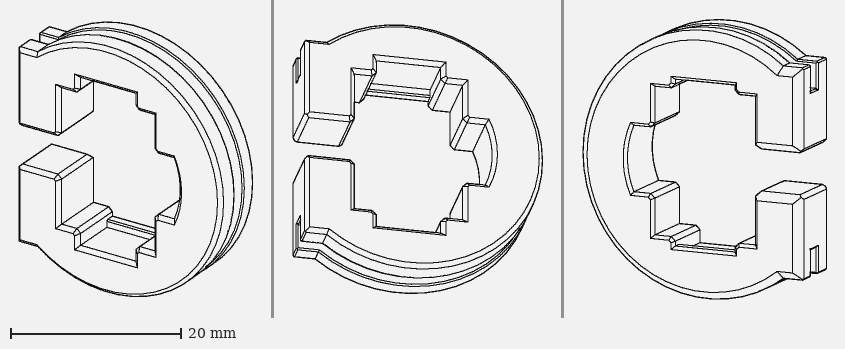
import cadquery as cq
import math

outer_radius = 16.1
thickness = 7.8
tab_reach = 12.5
tab_half_height = 12.75

groove_width = 1.8
groove_radius = 12.07
groove_tab_half_height = 9.53

cavity_half_width = 6.5
cavity_half_height = 8.92
notch_half_width = 3.85
notch_half_height = 10.98
key_slot_half_height = 4.0
key_slot_radius = 10.05
gap_half_height = 2.5

lip_half_height = 10.0
lip_front_y = 2.3

edge_chamfer = 0.5
back_chamfer = 1.0
opening_back_chamfer = 0.4
small_chamfer = 0.2

front_y = -thickness / 2
back_y = thickness / 2
groove_back_y = groove_width / 2
groove_front_y = -groove_back_y
beyond_tab = tab_reach + 3.22


def block(x_range, y_range, z_range):
    """Box given by its lower and upper limits along each axis."""
    limits = (x_range, y_range, z_range)
    size = [high - low for low, high in limits]
    middle = [(high + low) / 2 for low, high in limits]
    return cq.Workplane("XY").box(*size).translate(tuple(middle))


def plane_at(y):
    """Workplane across the part at the given depth; it extrudes towards -Y."""
    return cq.Workplane("XZ", origin=(0, y, 0))


def tabbed_disc(radius, tab_height, start_y, end_y):
    """Disc about the Y axis merged with a tab that runs out to -X."""
    disc = plane_at(end_y).circle(radius).extrude(end_y - start_y)
    tab = block((-tab_reach, 0), (start_y, end_y), (-tab_height, tab_height))
    left_limit = block((-tab_reach, radius), (start_y, end_y), (-radius, radius))
    return disc.intersect(left_limit).union(tab)


def front_flange():
    flange = tabbed_disc(outer_radius, tab_half_height, front_y, groove_front_y)
    return flange.faces("<Y").chamfer(edge_chamfer).faces(">Y").chamfer(small_chamfer)


def back_flange():
    flange = tabbed_disc(outer_radius, tab_half_height, groove_back_y, back_y)
    return flange.faces(">Y").chamfer(back_chamfer).faces("<Y").chamfer(small_chamfer)


def groove_core():
    """Material between the flanges; the groove ends at the tab face with a chamfered mouth."""
    core = tabbed_disc(groove_radius, groove_tab_half_height, groove_front_y, groove_back_y)
    core = core.faces("<X").edges("|Y").chamfer(small_chamfer)
    face_half_height = groove_tab_half_height - small_chamfer
    face_half_width = groove_back_y + small_chamfer
    tab_face = block(
        (-tab_reach, -cavity_half_width),
        (-face_half_width, face_half_width),
        (-face_half_height, face_half_height),
    )
    return core.union(tab_face)


def opening_profile(y, notch_height):
    """Outline of the cavity with its notches, key slot and gap, with broken inner corners."""
    slot_corner_x = math.sqrt(key_slot_radius**2 - key_slot_half_height**2)
    upper = [
        (slot_corner_x, key_slot_half_height),
        (cavity_half_width + edge_chamfer, key_slot_half_height),
        (cavity_half_width, key_slot_half_height + edge_chamfer),
        (cavity_half_width, cavity_half_height),
        (notch_half_width + edge_chamfer, cavity_half_height),
        (notch_half_width, cavity_half_height + edge_chamfer),
        (notch_half_width, notch_height),
        (-notch_half_width, notch_height),
        (-notch_half_width, cavity_half_height + edge_chamfer),
        (-notch_half_width - edge_chamfer, cavity_half_height),
        (-cavity_half_width, cavity_half_height),
        (-cavity_half_width, gap_half_height + edge_chamfer),
        (-cavity_half_width - edge_chamfer, gap_half_height),
        (-beyond_tab, gap_half_height),
    ]
    lower = [(x, -z) for x, z in reversed(upper)]
    outline = plane_at(y).polyline(upper + lower)
    return outline.threePointArc((key_slot_radius, 0), upper[0]).close()


def opening_section(start_y, end_y, notch_height):
    """Straight stretch of the opening between two depths."""
    return opening_profile(end_y, notch_height).extrude(end_y - start_y)


def opening_flare(start_y, face_y, notch_height):
    """Stretch of the opening that widens at 45 degrees towards a face of the body."""
    growth = abs(face_y - start_y)
    narrow = opening_profile(start_y, notch_height).val()
    wide = opening_profile(face_y, notch_height).offset2D(growth, "intersection").val()
    return cq.Workplane(cq.Solid.makeLoft([narrow, wide], True))


def opening_cutter():
    """Opening with the lip left standing in the back of the notches and both rims flared."""
    ahead_of_lip = opening_section(front_y, lip_front_y, notch_half_height)
    past_lip = opening_section(lip_front_y, back_y, lip_half_height)
    front_flare = opening_flare(front_y + edge_chamfer, front_y, notch_half_height)
    back_flare = opening_flare(back_y - opening_back_chamfer, back_y, lip_half_height)
    return ahead_of_lip.union(past_lip).union(front_flare).union(back_flare)


def prism_along_x(x_range, corner, y_leg, z_leg):
    """Right-angled triangular prism along X with its square corner at (y, z)."""
    y, z = corner
    triangle = [(y, z), (y + y_leg, z), (y, z + z_leg)]
    start_x, end_x = x_range
    return cq.Workplane("YZ", origin=(start_x, 0, 0)).polyline(triangle).close().extrude(end_x - start_x)


def prism_along_y(corner, x_leg, z_leg):
    """Right-angled triangular prism through the whole thickness with its square corner at (x, z)."""
    x, z = corner
    triangle = [(x, z), (x + x_leg, z), (x, z + z_leg)]
    return plane_at(back_y).polyline(triangle).close().extrude(thickness)


def edge_breaks():
    """Chamfers on the lip, the back of the gap, the gap mouth and the tab corners."""
    notch_span = (-notch_half_width, notch_half_width)
    gap_span = (-tab_reach, -cavity_half_width)
    breaks = cq.Workplane()
    for side in (1, -1):
        lip_edge = (lip_front_y, side * lip_half_height)
        gap_edge = (back_y, side * gap_half_height)
        mouth_edge = (-tab_reach, side * gap_half_height)
        tab_corner = (-tab_reach, side * tab_half_height)
        breaks.add(prism_along_x(notch_span, lip_edge, small_chamfer, side * small_chamfer))
        breaks.add(prism_along_x(gap_span, gap_edge, -back_chamfer, side * back_chamfer))
        breaks.add(prism_along_y(mouth_edge, edge_chamfer, side * edge_chamfer))
        breaks.add(prism_along_y(tab_corner, small_chamfer, -side * small_chamfer))
    return breaks.combine()


body = front_flange().union(back_flange()).union(groove_core())
result = body.cut(opening_cutter()).cut(edge_breaks())